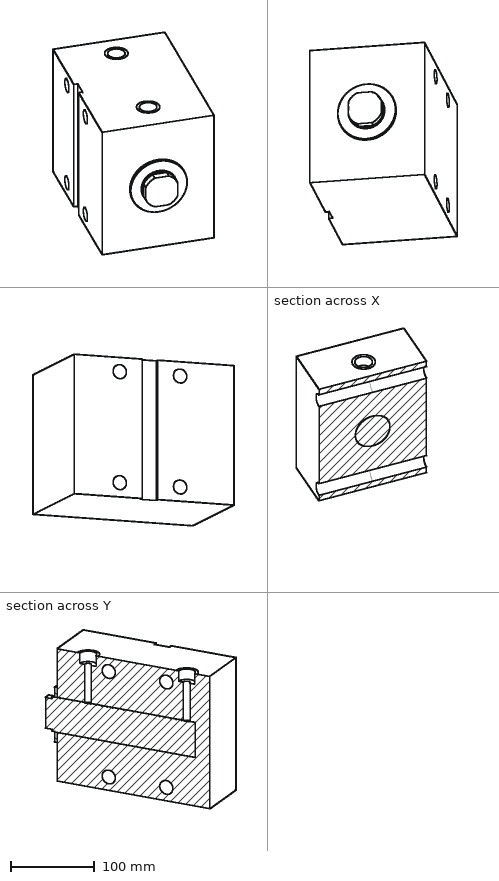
import cadquery as cq

OVERALL_LENGTH = 220.0
HOUSING_LENGTH = 204.4
HOUSING_DEPTH = 140.0
HOUSING_HEIGHT = 170.0
EDGE_CHAMFER = 0.33

KEY_CENTER_X = 96.8

SLOT_WIDTH = 20.2
SLOT_DEPTH = 5.0

MOUNT_DIAMETER = 17.0
MOUNT_SPACING_X = 77.0
MOUNT_SPACING_Z = 135.0

PORT_POSITIONS_X = (31.0, 163.0)
SPOTFACE_DIAMETER = 28.0
SPOTFACE_DEPTH = 0.2
PORT_DIAMETER = 21.0
PORT_DEPTH = 13.5
FEED_DIAMETER = 8.1

GLAND_DIAMETER = 70.8
GLAND_THICKNESS = 3.5
GLAND_CHAMFER = 0.5

ROD_DIAMETER = 44.2
ROD_START_X = 20.0
TIP_START_X = 211.2
ROD_CHAMFER = 0.5
TIP_DIAMETER = 43.5
FLATS_ACROSS = 39.8


def make_housing():
    """Block with a key slot, mounting holes, rod bore and two oil ports."""
    housing = (
        cq.Workplane("XY")
        .box(HOUSING_LENGTH, HOUSING_DEPTH, HOUSING_HEIGHT)
        .translate((HOUSING_LENGTH / 2, 0, 0))
        .edges("|X")
        .chamfer(EDGE_CHAMFER)
    )
    housing = housing.cut(make_slot()).cut(make_mounting_holes())
    housing = housing.cut(make_rod_blank(HOUSING_LENGTH))
    for port_x in PORT_POSITIONS_X:
        housing = housing.cut(make_port(port_x))
    return housing


def make_slot():
    """Cutter for the full-height key slot in the -Y face."""
    return cq.Workplane("XY").box(SLOT_WIDTH, 2 * SLOT_DEPTH, HOUSING_HEIGHT).translate(
        (KEY_CENTER_X, -HOUSING_DEPTH / 2, 0)
    )


def make_mounting_holes():
    """Cutters for the four through holes along Y."""
    return (
        cq.Workplane("XZ")
        .center(KEY_CENTER_X, 0)
        .rarray(MOUNT_SPACING_X, MOUNT_SPACING_Z, 2, 2)
        .circle(MOUNT_DIAMETER / 2)
        .extrude(HOUSING_DEPTH / 2, both=True)
    )


def make_port(port_x):
    """Cutter for one port: shallow spotface, port bore and feed drilling down to the rod bore."""
    top = cq.Workplane("XY", origin=(port_x, 0, HOUSING_HEIGHT / 2))
    spotface = top.circle(SPOTFACE_DIAMETER / 2).extrude(-SPOTFACE_DEPTH)
    bore = top.circle(PORT_DIAMETER / 2).extrude(-PORT_DEPTH)
    feed = top.circle(FEED_DIAMETER / 2).extrude(-HOUSING_HEIGHT / 2)
    return spotface.union(bore).union(feed)


def make_rod_blank(end_x):
    """Plain round rod from its inner end to end_x."""
    return (
        cq.Workplane("YZ", origin=(ROD_START_X, 0, 0))
        .circle(ROD_DIAMETER / 2)
        .extrude(end_x - ROD_START_X)
    )


def make_gland():
    """Ring on the +X face with a chamfered outer rim, fitting around the rod."""
    disc = (
        cq.Workplane("YZ", origin=(HOUSING_LENGTH, 0, 0))
        .circle(GLAND_DIAMETER / 2)
        .extrude(GLAND_THICKNESS)
        .faces(">X")
        .chamfer(GLAND_CHAMFER)
    )
    return disc.cut(make_rod_blank(OVERALL_LENGTH))


def make_rod():
    """Round rod with a chamfered shoulder and a tip trimmed to a square with rounded corners."""
    shank = make_rod_blank(TIP_START_X).faces(">X").chamfer(ROD_CHAMFER)
    tip_plane = cq.Workplane("YZ", origin=(TIP_START_X, 0, 0))
    tip_length = OVERALL_LENGTH - TIP_START_X
    tip_round = tip_plane.circle(TIP_DIAMETER / 2).extrude(tip_length)
    tip_square = tip_plane.rect(FLATS_ACROSS, FLATS_ACROSS).extrude(tip_length)
    return shank.union(tip_round.intersect(tip_square))


housing = make_housing()
gland = make_gland()
rod = make_rod()

result = cq.Compound.makeCompound([housing.val(), gland.val(), rod.val()])